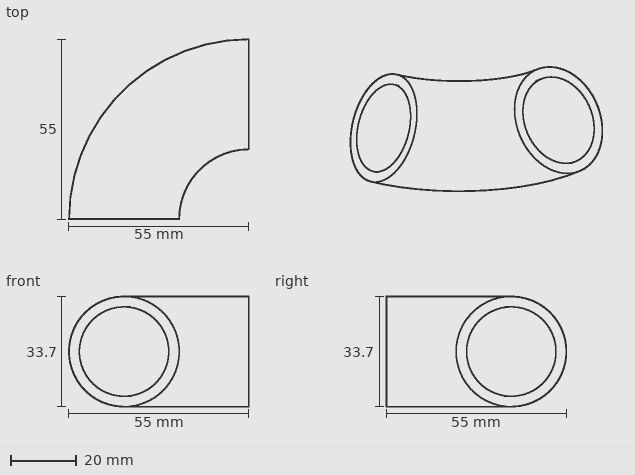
import cadquery as cq

outer_diameter = 33.7
wall_thickness = 3.2
bend_radius = 38.1
bend_angle = 90.0

inner_diameter = outer_diameter - 2 * wall_thickness


def pipe_elbow():
    """Sweep the pipe's ring section around the Z axis, from the -Y facing end to the +X facing end."""
    ring_section = (
        cq.Workplane("XZ")
        .center(-bend_radius, 0)
        .circle(outer_diameter / 2)
        .circle(inner_diameter / 2)
    )
    axis_start = (bend_radius, 0)
    axis_end = (bend_radius, -1)
    return ring_section.revolve(bend_angle, axis_start, axis_end)


result = pipe_elbow()